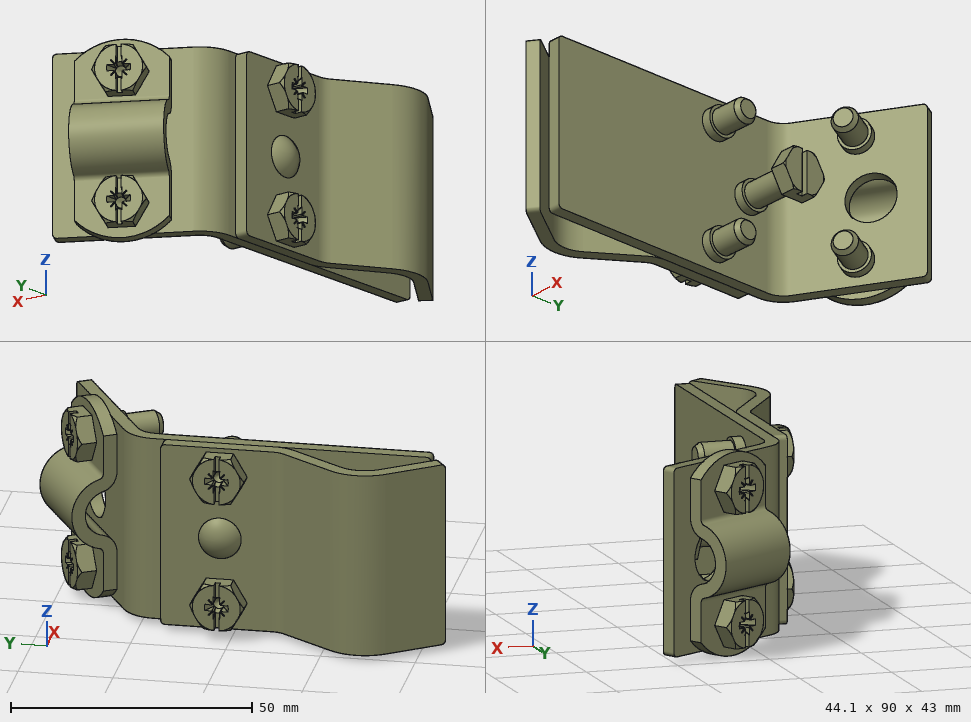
import cadquery as cq
import math

SHEET = 3.0
SHEET_WIDTH = 40.0
CORNER_RADIUS = 1.0
LOWER_SCREW_SPACING = 28.0
SADDLE_SCREW_SPACING = 28.5

PLATE_BOTTOM = -43.9
PLATE_BEND_START = 14.65
PLATE_BEND_ANGLE = 60
PLATE_BEND_RADIUS = 4.85
PLATE_ARM_LENGTH = 29.65
SADDLE_DISTANCE = 14.6
CABLE_HOLE_DISTANCE = 17.4
CABLE_HOLE_RADIUS = 5.7
COLLAR_RADIUS = 3.7
COLLAR_HEIGHT = 2.25

SPRING_TOP = 12.5
SPRING_FLAT_LENGTH = 23.5
SPRING_FOOT_ANGLE = 33.7
SPRING_FOOT_RADIUS = 4.8
SPRING_LEG_LENGTH = 13.4
SPRING_KNEE_ANGLE = 68.9
SPRING_KNEE_RADIUS = 7.3
SPRING_LIP_LENGTH = 13.7
DIMPLE_RADIUS = 4.5
DIMPLE_HEIGHT = 2.25

SADDLE_WIDTH = 19.95
SADDLE_SPAN = 43.0
SADDLE_HEIGHT = 9.9
SADDLE_ARCH_RADIUS = 7.9
SADDLE_FOOT_RADIUS = 1.2
EAR_RADIUS = 13.75

SHANK_RADIUS = 3.0
SHANK_LENGTH = 16.0
TIP_LENGTH = 1.2
TIP_INSET = 0.8
HEAD_FLATS = 10.0
HEAD_HEIGHT = 3.95
SCREW_CHAMFER = (0.7, 0.7)
SCREW_SLOT = (1.1, 1.7)
BOLT_CHAMFER = (0.45, 0.3)
BOLT_SLOT = (1.35, 1.6)
BOLT_Y = 9.1
BOLT_SEAT_X = 16.4
RECESS_RADIUS = 2.5
RECESS_DEPTH = 2.9
RECESS_FLOOR_RADIUS = 1.2
RECESS_POINT_HEIGHT = 0.9
RECESS_WING = 1.35
TICK_LENGTH = 4.7
TICK_WIDTH = 0.2
TICK_DEPTH = 0.2

LOWER_SCREW_Z = (-LOWER_SCREW_SPACING / 2, LOWER_SCREW_SPACING / 2)
SADDLE_SCREW_Z = (-SADDLE_SCREW_SPACING / 2, SADDLE_SCREW_SPACING / 2)


def straight(length):
    return ("straight", length, 0)


def bend(inner_radius, angle):
    """A bend; a positive angle turns left."""
    return ("bend", inner_radius + SHEET / 2, angle)


def bent_sheet(workplane, start, heading, steps, width):
    """Sheet whose middle line runs from start through the steps, extruded symmetrically to width."""
    def sides(x, y, direction):
        across = math.radians(direction + 90)
        dx = SHEET / 2 * math.cos(across)
        dy = SHEET / 2 * math.sin(across)
        return (x + dx, y + dy), (x - dx, y - dy)

    x, y = start
    stations = [sides(x, y, heading)]
    arc_middles = []
    for kind, size, angle in steps:
        if kind == "straight":
            x += size * math.cos(math.radians(heading))
            y += size * math.sin(math.radians(heading))
            arc_middles.append(None)
        else:
            to_centre = math.radians(heading + math.copysign(90, angle))
            centre_x = x + size * math.cos(to_centre)
            centre_y = y + size * math.sin(to_centre)

            def on_arc(turn):
                away = to_centre + math.pi + math.radians(turn)
                return centre_x + size * math.cos(away), centre_y + size * math.sin(away)

            arc_middles.append(sides(*on_arc(angle / 2), heading + angle / 2))
            x, y = on_arc(angle)
            heading += angle
        stations.append(sides(x, y, heading))

    left, right = 0, 1
    outline = workplane.moveTo(*stations[0][left])
    for middle, station in zip(arc_middles, stations[1:]):
        if middle:
            outline = outline.threePointArc(middle[left], station[left])
        else:
            outline = outline.lineTo(*station[left])
    outline = outline.lineTo(*stations[-1][right])
    for middle, station in zip(reversed(arc_middles), reversed(stations[:-1])):
        if middle:
            outline = outline.threePointArc(middle[right], station[right])
        else:
            outline = outline.lineTo(*station[right])
    return outline.close().extrude(width / 2, both=True)


def round_corners(sheet):
    """Round the four sheet corners, whose edges run through the thickness."""
    corners = [
        edge for edge in sheet.edges("%LINE").vals()
        if abs(edge.Length() - SHEET) < 0.001
    ]
    return sheet.newObject(corners).fillet(CORNER_RADIUS)


def cylinder(plane, x, y, bottom, top, radius):
    """Cylinder along the normal of a plane, between two heights."""
    return cq.Workplane(plane).workplane(offset=bottom).center(x, y).circle(radius).extrude(top - bottom)


bend_angle = math.radians(PLATE_BEND_ANGLE)
bend_outer_radius = PLATE_BEND_RADIUS + SHEET
arm_normal = (-math.cos(bend_angle), math.sin(bend_angle), 0)
arm_direction = (math.sin(bend_angle), math.cos(bend_angle), 0)

arm_plane = cq.Plane(
    origin=(
        bend_outer_radius + bend_outer_radius * arm_normal[0],
        PLATE_BEND_START + bend_outer_radius * arm_normal[1],
        0,
    ),
    xDir=arm_direction,
    normal=arm_normal,
)
upright_plane = cq.Plane(origin=(0, 0, 0), xDir=(0, 1, 0), normal=(-1, 0, 0))


def raised(plane, x, y, height):
    """Copy of a plane with its origin moved to a local point."""
    return cq.Plane(origin=plane.toWorldCoords((x, y, height)), xDir=plane.xDir, normal=plane.zDir)


threaded_holes = [(upright_plane, 0, z) for z in LOWER_SCREW_Z]
threaded_holes += [(arm_plane, SADDLE_DISTANCE, z) for z in SADDLE_SCREW_Z]
threaded_holes += [(upright_plane, BOLT_Y, 0)]


def make_back_plate():
    steps = [
        straight(PLATE_BEND_START - PLATE_BOTTOM),
        bend(PLATE_BEND_RADIUS, -PLATE_BEND_ANGLE),
        straight(PLATE_ARM_LENGTH),
    ]
    plate = bent_sheet(cq.Workplane("XY"), (SHEET / 2, PLATE_BOTTOM), 90, steps, SHEET_WIDTH)
    plate = round_corners(plate)
    inner_end = -SHEET - COLLAR_HEIGHT
    for plane, x, y in threaded_holes:
        plate = plate.union(cylinder(plane, x, y, inner_end, -SHEET, COLLAR_RADIUS))
        plate = plate.cut(cylinder(plane, x, y, inner_end, 0, SHANK_RADIUS))
    return plate.cut(cylinder(arm_plane, CABLE_HOLE_DISTANCE, 0, -SHEET, 0, CABLE_HOLE_RADIUS))


def make_spring_plate():
    steps = [
        straight(SPRING_FLAT_LENGTH),
        bend(SPRING_FOOT_RADIUS, -SPRING_FOOT_ANGLE),
        straight(SPRING_LEG_LENGTH),
        bend(SPRING_KNEE_RADIUS, SPRING_KNEE_ANGLE),
        straight(SPRING_LIP_LENGTH),
    ]
    spring = bent_sheet(cq.Workplane("XY"), (-SHEET / 2, SPRING_TOP), -90, steps, SHEET_WIDTH)
    spring = round_corners(spring)
    for z in LOWER_SCREW_Z:
        spring = spring.cut(cylinder(upright_plane, 0, z, 0, SHEET, SHANK_RADIUS))

    sphere_radius = (DIMPLE_RADIUS ** 2 + DIMPLE_HEIGHT ** 2) / (2 * DIMPLE_HEIGHT)
    sphere_centre = SHEET + DIMPLE_HEIGHT - sphere_radius
    sphere = cq.Workplane(raised(upright_plane, 0, 0, sphere_centre)).sphere(sphere_radius)
    boss = sphere.intersect(cylinder(upright_plane, 0, 0, SHEET, SHEET + DIMPLE_HEIGHT, DIMPLE_RADIUS))
    return spring.union(boss)


def make_saddle():
    arch_centre = SADDLE_HEIGHT - SADDLE_ARCH_RADIUS
    foot_centre = SHEET + SADDLE_FOOT_RADIUS
    foot_reach = SADDLE_ARCH_RADIUS + SADDLE_FOOT_RADIUS
    foot_angle = math.degrees(math.acos((foot_centre - arch_centre) / foot_reach))
    foot_offset = foot_reach * math.sin(math.radians(foot_angle))
    ear_length = SADDLE_SPAN / 2 - foot_offset
    steps = [
        straight(ear_length),
        bend(SADDLE_FOOT_RADIUS, foot_angle),
        bend(SADDLE_ARCH_RADIUS - SHEET, -2 * foot_angle),
        bend(SADDLE_FOOT_RADIUS, foot_angle),
        straight(ear_length),
    ]
    seat = raised(arm_plane, SADDLE_DISTANCE, 0, 0)
    profile_plane = cq.Plane(origin=seat.origin, xDir=(0, 0, 1), normal=-seat.xDir)
    saddle = bent_sheet(
        cq.Workplane(profile_plane), (-SADDLE_SPAN / 2, SHEET / 2), 0, steps, SADDLE_WIDTH
    )

    half_width = SADDLE_WIDTH / 2
    end = SADDLE_SPAN / 2
    shoulder = end - EAR_RADIUS + math.sqrt(EAR_RADIUS ** 2 - half_width ** 2)
    plan = (
        cq.Workplane(seat)
        .moveTo(-half_width, -shoulder)
        .threePointArc((0, -end), (half_width, -shoulder))
        .lineTo(half_width, shoulder)
        .threePointArc((0, end), (-half_width, shoulder))
        .close()
        .extrude(SADDLE_HEIGHT)
    )
    saddle = saddle.intersect(plan)
    for z in SADDLE_SCREW_Z:
        saddle = saddle.cut(cylinder(seat, 0, z, 0, SHEET, SHANK_RADIUS))
    return saddle


def make_screw(chamfer, slot):
    """Slotted hexagon screw along local Z, with the underside of its head at the origin."""
    corner_diameter = HEAD_FLATS / math.cos(math.radians(30))
    corner_radius = corner_diameter / 2
    chamfer_width, chamfer_height = chamfer
    turned_blank = (
        cq.Workplane("XZ")
        .lineTo(corner_radius, 0)
        .lineTo(corner_radius, HEAD_HEIGHT - chamfer_height)
        .lineTo(corner_radius - chamfer_width, HEAD_HEIGHT)
        .lineTo(0, HEAD_HEIGHT)
        .close()
        .revolve(360, (0, 0, 0), (0, 1, 0))
    )
    head = cq.Workplane("XY").polygon(6, corner_diameter).extrude(HEAD_HEIGHT).intersect(turned_blank)
    shank = (
        cq.Workplane("XZ")
        .lineTo(SHANK_RADIUS, 0)
        .lineTo(SHANK_RADIUS, TIP_LENGTH - SHANK_LENGTH)
        .lineTo(SHANK_RADIUS - TIP_INSET, -SHANK_LENGTH)
        .lineTo(0, -SHANK_LENGTH)
        .close()
        .revolve(360, (0, 0, 0), (0, 1, 0))
    )
    slot_width, slot_depth = slot
    top = cq.Workplane("XY").workplane(offset=HEAD_HEIGHT)
    slot_cutter = top.rect(slot_width, corner_diameter).extrude(-slot_depth)
    return head.union(shank).cut(slot_cutter)


def cut_cross_recess(screw):
    """Tapered cross recess with fine diagonal marks between its wings."""
    top = cq.Workplane("XY").workplane(offset=HEAD_HEIGHT)
    cone = (
        top.circle(RECESS_RADIUS)
        .workplane(offset=-RECESS_DEPTH)
        .circle(RECESS_FLOOR_RADIUS)
        .loft()
    )
    wings = top.rect(2 * RECESS_RADIUS, RECESS_WING).extrude(-RECESS_DEPTH)
    wings = wings.union(top.rect(RECESS_WING, 2 * RECESS_RADIUS).extrude(-RECESS_DEPTH))
    core = (
        cq.Workplane("XZ")
        .moveTo(0, HEAD_HEIGHT)
        .lineTo(RECESS_FLOOR_RADIUS, HEAD_HEIGHT)
        .lineTo(RECESS_FLOOR_RADIUS, HEAD_HEIGHT - RECESS_DEPTH)
        .lineTo(0, HEAD_HEIGHT - RECESS_DEPTH - RECESS_POINT_HEIGHT)
        .close()
        .revolve(360, (0, 0, 0), (0, 1, 0))
    )
    screw = screw.cut(wings.intersect(cone)).cut(core)
    for angle in (45, 135):
        tick = top.transformed(rotate=(0, 0, angle)).rect(TICK_LENGTH, TICK_WIDTH).extrude(-TICK_DEPTH)
        screw = screw.cut(tick)
    return screw


back_plate = make_back_plate()
spring_plate = make_spring_plate()
saddle = make_saddle()

recessed_screw = cut_cross_recess(make_screw(SCREW_CHAMFER, SCREW_SLOT))
screws = []
for plane, distance, screw_places in (
    (upright_plane, 0, LOWER_SCREW_Z),
    (arm_plane, SADDLE_DISTANCE, SADDLE_SCREW_Z),
):
    for z in screw_places:
        screws.append(recessed_screw.val().moved(cq.Location(raised(plane, distance, z, SHEET))))

bolt_seat = cq.Plane(origin=(BOLT_SEAT_X, BOLT_Y, 0), xDir=(0, 1, 0), normal=(1, 0, 0))
clamping_bolt = make_screw(BOLT_CHAMFER, BOLT_SLOT).val().moved(cq.Location(bolt_seat))

result = cq.Compound.makeCompound(
    [back_plate.val(), spring_plate.val(), saddle.val(), *screws, clamping_bolt]
)